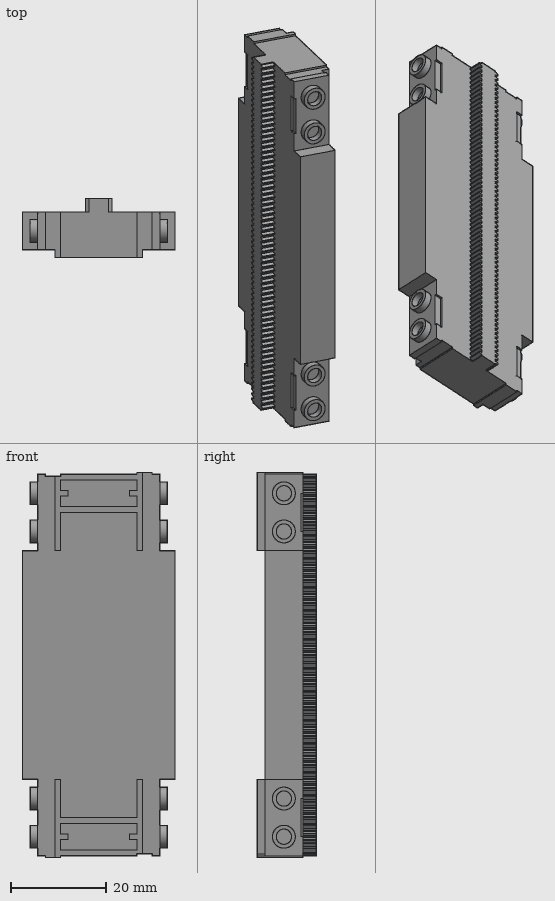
import cadquery as cq

MODULE_WIDTH = 32.0
MODULE_HEIGHT = 48.0
HOUSING_HEIGHT = 80.0
TERMINAL_WIDTH = 25.6
HOUSING_DEPTH = 8.0

FRAME_DEPTH = 1.6
FRAME_WALL = 1.2
FRAME_INNER_WIDTH = 16.0
POCKET_HEIGHT = 5.6
POCKET_BACK_WALL = 1.2
TAB_LENGTH = 1.6
TAB_THICKNESS = 1.2

STRIP_OUTER_X = 11.2
STRIP_SHIFT = 0.4

SCREW_DIAMETER = 4.8
SCREW_HOLE_DIAMETER = 3.2
SCREW_PROJECTION = 1.6
SCREW_HOLE_DEPTH = 1.6
SCREW_PITCH = 8.0

NOTCH_DEPTH = 0.4
NOTCH_WIDTH = 1.6

RACK_HEIGHT = 2.8
RACK_ROOT_WIDTH = 4.0
RACK_TIP_WIDTH = 5.6
TOOTH_COUNT = 66
TOOTH_BASE = 0.8
TOOTH_TIP = TOOTH_BASE / 3

FRONT_Y = -HOUSING_DEPTH / 2
BACK_Y = HOUSING_DEPTH / 2
FRAME_FRONT_Y = FRONT_Y - FRAME_DEPTH
HALF_HOUSING = HOUSING_HEIGHT / 2
HALF_MODULE = MODULE_HEIGHT / 2
TERMINAL_MID_Z = (HALF_HOUSING + HALF_MODULE) / 2
FRAME_INNER_X = FRAME_INNER_WIDTH / 2
FRAME_OUTER_X = FRAME_INNER_X + FRAME_WALL
POCKET_TOP_Z = HALF_HOUSING - FRAME_WALL
POCKET_BOTTOM_Z = POCKET_TOP_Z - POCKET_HEIGHT
POCKET_MID_Z = (POCKET_TOP_Z + POCKET_BOTTOM_Z) / 2
POCKET_FLOOR_Y = BACK_Y - POCKET_BACK_WALL
TOOTH_PITCH = HOUSING_HEIGHT / TOOTH_COUNT


def box(x_range, y_range, z_range):
    """Axis-aligned box between pairs of coordinates, each pair in any order."""
    low = [min(pair) for pair in (x_range, y_range, z_range)]
    size = [abs(pair[1] - pair[0]) for pair in (x_range, y_range, z_range)]
    return cq.Workplane("XY").box(*size, centered=False).translate(tuple(low))


def make_housing():
    """Central block with the narrower terminal block above and below it."""
    central = cq.Workplane("XY").box(MODULE_WIDTH, HOUSING_DEPTH, MODULE_HEIGHT)
    terminals = cq.Workplane("XY").box(TERMINAL_WIDTH, HOUSING_DEPTH, HOUSING_HEIGHT)
    return central.union(terminals)


def add_frame(body, end):
    """Raised frame on the front of one terminal block, open towards the middle; end is +1 (top) or -1."""
    y_range = (FRAME_FRONT_Y, FRONT_Y)
    plate = box((-FRAME_OUTER_X, FRAME_OUTER_X), y_range, (end * HALF_MODULE, end * HALF_HOUSING))
    crossbar_z = POCKET_BOTTOM_Z - FRAME_WALL
    window = box((-FRAME_INNER_X, FRAME_INNER_X), y_range, (end * HALF_MODULE, end * crossbar_z))
    return body.union(plate.cut(window))


def shift_strip(body, side):
    """Move the strip at one side (+1 right, -1 left) along Z by STRIP_SHIFT towards that sign."""
    x_wide = (side * FRAME_INNER_X, side * STRIP_OUTER_X)
    x_frame = (side * FRAME_INNER_X, side * FRAME_OUTER_X)
    grown_z = (side * HALF_HOUSING, side * (HALF_HOUSING + STRIP_SHIFT))
    trimmed_z = (-side * HALF_HOUSING, -side * (HALF_HOUSING - STRIP_SHIFT))
    body = body.union(box(x_wide, (FRONT_Y, BACK_Y), grown_z))
    body = body.union(box(x_frame, (FRAME_FRONT_Y, FRONT_Y), grown_z))
    return body.cut(box(x_wide, (FRAME_FRONT_Y, BACK_Y), trimmed_z))


def cut_pocket(body, end):
    """Blind pocket inside one frame, with a short tab left standing on each side wall."""
    y_range = (FRAME_FRONT_Y, POCKET_FLOOR_Y)
    pocket = box((-FRAME_INNER_X, FRAME_INNER_X), y_range, (end * POCKET_BOTTOM_Z, end * POCKET_TOP_Z))
    tab_low = end * POCKET_MID_Z - TAB_THICKNESS / 2
    tab_high = end * POCKET_MID_Z + TAB_THICKNESS / 2
    for side in (-1, 1):
        tab_x = (side * FRAME_INNER_X, side * (FRAME_INNER_X - TAB_LENGTH))
        pocket = pocket.cut(box(tab_x, y_range, (tab_low, tab_high)))
    return body.cut(pocket)


def add_screws(body, end):
    """Two hollow terminal screws standing out of each side of one terminal block."""
    tip_x = TERMINAL_WIDTH / 2 + SCREW_PROJECTION
    for side in (-1, 1):
        inward = cq.Vector(-side, 0, 0)
        for offset in (-SCREW_PITCH / 2, SCREW_PITCH / 2):
            tip = cq.Vector(side * tip_x, 0, end * TERMINAL_MID_Z + offset)
            head = cq.Solid.makeCylinder(SCREW_DIAMETER / 2, SCREW_PROJECTION, tip, inward)
            hole = cq.Solid.makeCylinder(SCREW_HOLE_DIAMETER / 2, SCREW_HOLE_DEPTH, tip, inward)
            body = body.union(cq.Workplane(head)).cut(cq.Workplane(hole))
    return body


def cut_side_notches(body, end):
    """Shallow notch in each back corner of one terminal block, from one screw axis to the other."""
    half_width = TERMINAL_WIDTH / 2
    y_range = (BACK_Y - NOTCH_DEPTH, BACK_Y)
    mid_z = end * TERMINAL_MID_Z
    z_range = (mid_z - SCREW_PITCH / 2, mid_z + SCREW_PITCH / 2)
    for side in (-1, 1):
        x_range = (side * half_width, side * (half_width - NOTCH_WIDTH))
        body = body.cut(box(x_range, y_range, z_range))
    return body


def make_rack():
    """Bar along the back with evenly spaced trapezoidal teeth on both of its sides."""
    root_x = RACK_ROOT_WIDTH / 2
    tip_x = RACK_TIP_WIDTH / 2
    right_side = [(root_x, -HALF_HOUSING)]
    for index in range(TOOTH_COUNT):
        tooth_z = (index + 0.5) * TOOTH_PITCH - HALF_HOUSING
        right_side.append((root_x, tooth_z - TOOTH_BASE / 2))
        right_side.append((tip_x, tooth_z - TOOTH_TIP / 2))
        right_side.append((tip_x, tooth_z + TOOTH_TIP / 2))
        right_side.append((root_x, tooth_z + TOOTH_BASE / 2))
    right_side.append((root_x, HALF_HOUSING))
    left_side = [(-x, z) for x, z in reversed(right_side)]
    profile = cq.Workplane("XZ", origin=(0, BACK_Y, 0)).polyline(right_side + left_side).close()
    return profile.extrude(-RACK_HEIGHT)


result = make_housing()
for terminal_end in (-1, 1):
    result = add_frame(result, terminal_end)
    result = cut_pocket(result, terminal_end)
    result = add_screws(result, terminal_end)
    result = cut_side_notches(result, terminal_end)
for strip_side in (-1, 1):
    result = shift_strip(result, strip_side)
result = result.union(make_rack())